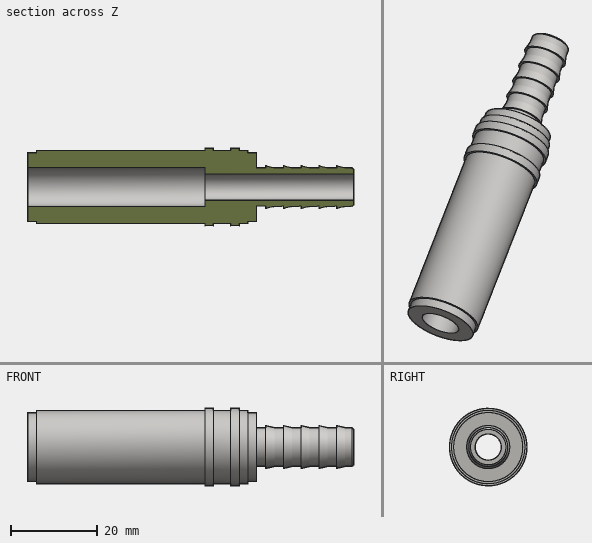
import cadquery as cq

nose_length = 2.0
sleeve_end = 51.0
shoulder_end = 53.0
total_length = 75.5

sleeve_diameter = 17.0
nose_diameter = 16.0
collar_diameter = 18.0
stem_diameter = 9.0
barb_diameter = 10.0
hole_diameter = 6.0

collar_length = 2.0
collar_starts = (41.0, 47.0)

barb_count = 5
barb_first_start = shoulder_end + 2.1
barb_pitch = 4.1
barb_length = barb_pitch / 2

tip_chamfer = 0.4

socket_diameter = stem_diameter
socket_depth = collar_starts[0]


def cylinder(start, end, diameter):
    """Solid cylinder on the X axis between two positions."""
    return cq.Workplane("YZ", origin=(start, 0, 0)).circle(diameter / 2).extrude(end - start)


def cone(start, end, start_diameter, end_diameter):
    """Solid truncated cone on the X axis between two positions."""
    profile = [
        (start, 0),
        (start, start_diameter / 2),
        (end, end_diameter / 2),
        (end, 0),
    ]
    return cq.Workplane("XZ").polyline(profile).close().revolve(360, (0, 0, 0), (1, 0, 0))


def make_sleeve():
    """Sleeve with two collars, stepped down to a smaller diameter at both ends."""
    sleeve = cylinder(0, shoulder_end, nose_diameter)
    sleeve = sleeve.union(cylinder(nose_length, sleeve_end, sleeve_diameter))
    for start in collar_starts:
        sleeve = sleeve.union(cylinder(start, start + collar_length, collar_diameter))
    return sleeve


def make_stem():
    """Hose stem with a chamfered tip and evenly spaced barbs."""
    stem = cylinder(shoulder_end, total_length, stem_diameter).faces(">X").chamfer(tip_chamfer)
    for index in range(barb_count):
        start = barb_first_start + index * barb_pitch
        stem = stem.union(cone(start, start + barb_length, barb_diameter, stem_diameter))
    return stem


def make_bore():
    """Through hole, opened out to a socket at the sleeve end."""
    return cylinder(0, total_length, hole_diameter).union(cylinder(0, socket_depth, socket_diameter))


result = make_sleeve().union(make_stem()).cut(make_bore())